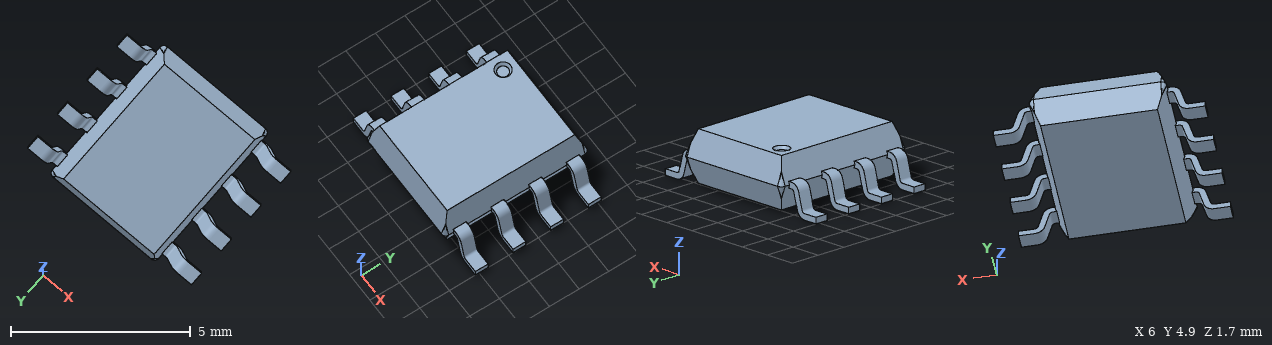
import cadquery as cq
import math

BODY_WIDTH = 3.9
BODY_LENGTH = 4.9
BODY_TOP = 1.7
STANDOFF = 0.095
PARTING_Z = (BODY_TOP + STANDOFF) / 2
HALF_HEIGHT = BODY_TOP - PARTING_Z
DRAFT_ANGLE = 20.2
CORNER_RADIUS = 0.15

LEAD_SPAN = 6.0
LEADS_PER_SIDE = 4
LEAD_PITCH = 1.27
LEAD_WIDTH = 0.44
LEAD_THICKNESS = 0.2
LEAD_TOP = 0.995
LEG_TILT = 15.0
INNER_BEND_RADIUS = 0.1
OUTER_BEND_RADIUS = INNER_BEND_RADIUS + LEAD_THICKNESS
SHOULDER_LENGTH = 0.07
LEAD_EMBED = 0.3

MARK_X = -1.2
MARK_Y = 1.7
MARK_TOP_DIAMETER = 0.505
MARK_FLOOR_DIAMETER = 0.36
MARK_DEPTH = 0.1


def make_half_body():
    """Drafted half rising from Z = 0, its corner edges rounded by cones that taper to a point."""
    drafted = cq.Workplane("XY").rect(BODY_WIDTH, BODY_LENGTH).extrude(HALF_HEIGHT, taper=DRAFT_ANGLE)
    inner_width = BODY_WIDTH - 2 * CORNER_RADIUS
    inner_length = BODY_LENGTH - 2 * CORNER_RADIUS
    cross = (
        cq.Workplane("XY")
        .rect(inner_width, BODY_LENGTH)
        .extrude(HALF_HEIGHT)
        .union(cq.Workplane("XY").rect(BODY_WIDTH, inner_length).extrude(HALF_HEIGHT))
    )
    half = drafted.intersect(cross)
    cone_height = CORNER_RADIUS / math.tan(math.radians(DRAFT_ANGLE))
    for side_x in (-1, 1):
        for side_y in (-1, 1):
            center = cq.Vector(side_x * inner_width / 2, side_y * inner_length / 2, 0)
            half = half.union(cq.Workplane(cq.Solid.makeCone(CORNER_RADIUS, 0, cone_height, center)))
    return half


def make_body():
    half = make_half_body()
    return half.union(half.mirror("XY")).translate((0, 0, PARTING_Z))


def make_left_lead():
    """One lead on the -X side, centred on Y = 0."""
    tilt = math.radians(LEG_TILT)
    shoulder_x = -BODY_WIDTH / 2 - SHOULDER_LENGTH
    shoulder_z = LEAD_TOP - OUTER_BEND_RADIUS
    ankle_z = OUTER_BEND_RADIUS
    bend_offset = (
        INNER_BEND_RADIUS + OUTER_BEND_RADIUS + (shoulder_z - ankle_z) * math.sin(tilt)
    ) / math.cos(tilt)
    ankle_x = shoulder_x - bend_offset

    def on_shoulder(radius, angle):
        return (shoulder_x - radius * math.sin(angle), shoulder_z + radius * math.cos(angle))

    def on_ankle(radius, angle):
        return (ankle_x + radius * math.sin(angle), ankle_z - radius * math.cos(angle))

    turn = math.pi / 2 - tilt
    root_x = -BODY_WIDTH / 2 + LEAD_EMBED
    toe_x = -LEAD_SPAN / 2
    return (
        cq.Workplane("XZ")
        .moveTo(root_x, LEAD_TOP)
        .lineTo(*on_shoulder(OUTER_BEND_RADIUS, 0))
        .threePointArc(on_shoulder(OUTER_BEND_RADIUS, turn / 2), on_shoulder(OUTER_BEND_RADIUS, turn))
        .lineTo(*on_ankle(INNER_BEND_RADIUS, turn))
        .threePointArc(on_ankle(INNER_BEND_RADIUS, turn / 2), on_ankle(INNER_BEND_RADIUS, 0))
        .lineTo(toe_x, LEAD_THICKNESS)
        .lineTo(toe_x, 0)
        .lineTo(*on_ankle(OUTER_BEND_RADIUS, 0))
        .threePointArc(on_ankle(OUTER_BEND_RADIUS, turn / 2), on_ankle(OUTER_BEND_RADIUS, turn))
        .lineTo(*on_shoulder(INNER_BEND_RADIUS, turn))
        .threePointArc(on_shoulder(INNER_BEND_RADIUS, turn / 2), on_shoulder(INNER_BEND_RADIUS, 0))
        .lineTo(root_x, LEAD_TOP - LEAD_THICKNESS)
        .close()
        .extrude(LEAD_WIDTH / 2, both=True)
    )


def make_pin_one_mark():
    return cq.Workplane(
        cq.Solid.makeCone(
            MARK_FLOOR_DIAMETER / 2,
            MARK_TOP_DIAMETER / 2,
            MARK_DEPTH,
            cq.Vector(MARK_X, MARK_Y, BODY_TOP - MARK_DEPTH),
        )
    )


result = make_body().cut(make_pin_one_mark())

left_lead = make_left_lead()
right_lead = left_lead.mirror("YZ")
for index in range(LEADS_PER_SIDE):
    lead_y = (index - (LEADS_PER_SIDE - 1) / 2) * LEAD_PITCH
    result = result.union(left_lead.translate((0, lead_y, 0)))
    result = result.union(right_lead.translate((0, lead_y, 0)))